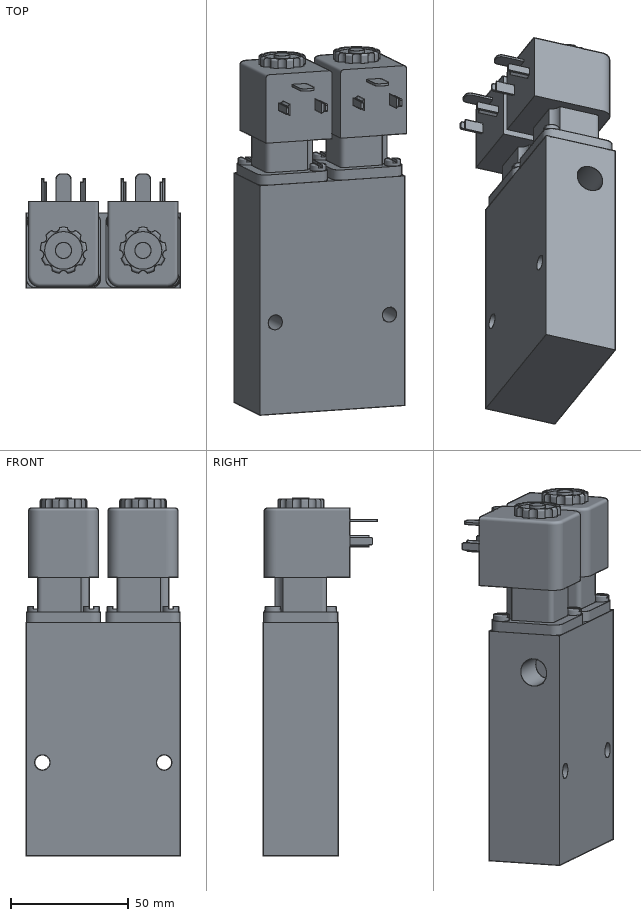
import cadquery as cq

overall_height = 153.0

block_width = 66.0
block_depth = 32.1
block_height = 99.8
mount_hole_diameter = 6.5
mount_hole_spacing = 52.0
mount_hole_height = 40.0
port_diameter = 11.8
port_depth = 18.4
port_y = -4.3
port_height = 83.1

valve_spacing = 34.0

flange_size = 31.8
flange_thickness = 4.5
flange_corner_radius = 4.0
screw_head_diameter = 6.9
screw_head_height = 2.5
screw_head_edge_radius = 0.5
screw_slot_width = 1.8
screw_slot_depth = 1.0

stem_size = 22.2
stem_height = 14.8
stem_corner_radius = 2.0
screw_clearance_diameter = 8.9

coil_width = 30.0
coil_height = 29.7
coil_front_y = -15.6
coil_back_y = 21.0
coil_corner_radius = 5.0
coil_edge_radius = 1.4

nut_diameter = 19.9
nut_edge_radius = 0.9
nut_tooth_count = 9
nut_groove_diameter = 4.0
nut_groove_centre_radius = 10.5
nut_recess_diameter = 16.0
nut_recess_depth = 0.8
button_diameter = 6.9
button_rise = 0.5

earth_width = 6.5
earth_thickness = 1.0
earth_length = 11.8
earth_tip_radius = 2.3
earth_drop = 5.4
contact_drop = 14.2
contact_outer_x = 9.3
contact_blade_thickness = 1.0
contact_blade_height = 3.2
contact_blade_length = 9.8
contact_tip_chamfer = 0.5
contact_rib_thickness = 1.0
contact_rib_height = 4.9
contact_rib_length = 8.3

flange_top = block_height + flange_thickness
coil_bottom = flange_top + stem_height
coil_top = coil_bottom + coil_height
nut_top = overall_height - button_rise
valve_x = valve_spacing / 2
screw_offset = flange_size / 2 - flange_corner_radius
screw_points = [(-screw_offset, screw_offset), (screw_offset, -screw_offset)]


def make_block():
    block = cq.Workplane("XY").box(block_width, block_depth, block_height, centered=(True, True, False))
    mount_holes = (
        cq.Workplane("XZ", origin=(0, 0, mount_hole_height))
        .pushPoints([(-mount_hole_spacing / 2, 0), (mount_hole_spacing / 2, 0)])
        .circle(mount_hole_diameter / 2)
        .extrude(block_depth, both=True)
    )
    port = (
        cq.Workplane("YZ", origin=(-block_width / 2, port_y, port_height))
        .circle(port_diameter / 2)
        .extrude(port_depth)
    )
    return block.cut(mount_holes).cut(port)


def make_flange():
    return (
        cq.Workplane("XY", origin=(0, 0, block_height))
        .rect(flange_size, flange_size)
        .extrude(flange_thickness)
        .edges("|Z")
        .fillet(flange_corner_radius)
    )


def make_screw_head(x, y):
    head = (
        cq.Workplane("XY", origin=(x, y, flange_top))
        .circle(screw_head_diameter / 2)
        .extrude(screw_head_height)
        .faces(">Z")
        .fillet(screw_head_edge_radius)
    )
    slot = (
        cq.Workplane("XY", origin=(x, y, flange_top + screw_head_height - screw_slot_depth))
        .rect(screw_slot_width, screw_head_diameter)
        .extrude(screw_slot_depth)
    )
    return head.cut(slot)


def make_stem():
    """Square stem with two round corners and two corners scooped out around the screws."""
    stem = (
        cq.Workplane("XY", origin=(0, 0, flange_top))
        .rect(stem_size, stem_size)
        .extrude(stem_height)
        .edges("|Z and ((<X and <Y) or (>X and >Y))")
        .fillet(stem_corner_radius)
    )
    screw_clearance = (
        cq.Workplane("XY", origin=(0, 0, flange_top))
        .pushPoints(screw_points)
        .circle(screw_clearance_diameter / 2)
        .extrude(stem_height)
    )
    return stem.cut(screw_clearance)


def make_coil():
    """Housing rounded at its front corners and along its top edge, with a flat sharp-edged back."""
    return (
        cq.Workplane("XY", origin=(0, (coil_front_y + coil_back_y) / 2, coil_bottom))
        .rect(coil_width, coil_back_y - coil_front_y)
        .extrude(coil_height)
        .edges("|Z and <Y")
        .fillet(coil_corner_radius)
        .faces(">Z")
        .edges("not >Y")
        .fillet(coil_edge_radius)
    )


def make_nut():
    nut = (
        cq.Workplane("XY", origin=(0, 0, coil_top))
        .circle(nut_diameter / 2)
        .extrude(nut_top - coil_top)
        .faces(">Z")
        .edges()
        .fillet(nut_edge_radius)
    )
    first_groove_angle = 90 + 180 / nut_tooth_count
    grooves = (
        cq.Workplane("XY", origin=(0, 0, coil_top))
        .polarArray(nut_groove_centre_radius, first_groove_angle, 360, nut_tooth_count)
        .circle(nut_groove_diameter / 2)
        .extrude(nut_top - coil_top)
    )
    recess = (
        cq.Workplane("XY", origin=(0, 0, nut_top - nut_recess_depth))
        .circle(nut_recess_diameter / 2)
        .extrude(nut_recess_depth)
    )
    button = (
        cq.Workplane("XY", origin=(0, 0, coil_top))
        .circle(button_diameter / 2)
        .extrude(overall_height - coil_top)
    )
    return nut.cut(grooves).cut(recess).union(button)


def make_earth_blade():
    return (
        cq.Workplane("XY", origin=(0, coil_back_y + earth_length / 2, coil_top - earth_drop))
        .box(earth_width, earth_length, earth_thickness)
        .edges("|Z and >Y")
        .fillet(earth_tip_radius)
    )


def make_contact(side):
    """Upright blade with a shorter rib on its inner face that flares wider towards the middle."""
    outer_x = side * contact_outer_x
    step_x = side * (contact_outer_x - contact_blade_thickness)
    inner_x = step_x - side * contact_rib_thickness
    contact_z = coil_top - contact_drop
    blade = (
        cq.Workplane("XY", origin=((outer_x + step_x) / 2, coil_back_y + contact_blade_length / 2, contact_z))
        .box(contact_blade_thickness, contact_blade_length, contact_blade_height)
        .edges("|X and >Y")
        .chamfer(contact_tip_chamfer)
    )
    rib = (
        cq.Workplane("XZ", origin=(0, coil_back_y, contact_z))
        .moveTo(step_x, -contact_blade_height / 2)
        .lineTo(step_x, contact_blade_height / 2)
        .lineTo(inner_x, contact_rib_height / 2)
        .lineTo(inner_x, -contact_rib_height / 2)
        .close()
        .extrude(-contact_rib_length)
    )
    return blade.union(rib)


def make_valve():
    valve = make_flange().union(make_stem()).union(make_coil()).union(make_nut())
    for x, y in screw_points:
        valve = valve.union(make_screw_head(x, y))
    valve = valve.union(make_earth_blade())
    for side in (-1, 1):
        valve = valve.union(make_contact(side))
    return valve


result = make_block()
for side in (-1, 1):
    result = result.union(make_valve().translate((side * valve_x, 0, 0)))